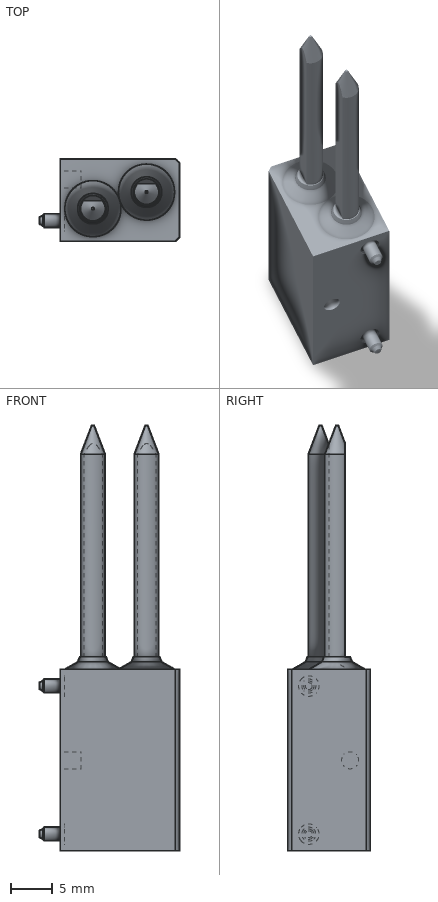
import cadquery as cq

total_height = 51.5
block_length = 14.45
block_width = 10.0
block_height = 22.0
edge_chamfer = 0.5

needle_centers = [(3.95, 3.95), (10.45, 5.95)]
needle_radius = 1.5
needle_flat_offset = 1.0
tip_length = 3.5
tip_radius = 0.15
collar_height = 1.5
collar_base_radius = 3.4
collar_neck_radius = 1.85
collar_neck_height = 0.9
collar_top_radius = 1.6

plug_y = 2.5
plug_heights = [2.05, 20.0]
plug_length = 2.5
plug_radius = 0.85
plug_shoulder_length = 0.6
plug_nose_base_radius = 0.6
plug_nose_radius = 0.4
plug_nose_length = 0.4
recess_radius = 1.25
recess_depth = 0.5

locating_hole_y = 7.5
locating_hole_height = block_height / 2
locating_hole_radius = 1.05
locating_hole_depth = 2.5


def make_needle(center):
    """Return a pointed, flattened needle with its collar."""
    shank_end = total_height - tip_length
    collar_top = block_height + collar_height
    shank = (
        cq.Workplane("XZ")
        .moveTo(0, block_height)
        .lineTo(needle_radius, block_height)
        .lineTo(needle_radius, shank_end)
        .lineTo(tip_radius, total_height)
        .lineTo(0, total_height)
        .close()
        .revolve(360, (0, 0), (0, 1))
    )
    flat_cutter = (
        cq.Workplane("XY", origin=(0, needle_flat_offset, collar_top))
        .rect(2 * needle_radius, 2 * needle_radius)
        .extrude(total_height - collar_top)
        .translate((0, needle_radius, 0))
    )
    collar = (
        cq.Workplane("XZ")
        .moveTo(0, block_height)
        .lineTo(collar_base_radius, block_height)
        .lineTo(collar_neck_radius, block_height + collar_neck_height)
        .lineTo(collar_top_radius, collar_top)
        .lineTo(0, collar_top)
        .close()
        .revolve(360, (0, 0), (0, 1))
    )
    return shank.cut(flat_cutter).union(collar).translate((*center, 0))


def bore(y, z, radius, depth):
    """Return a cylinder running into the block from the -X face."""
    return cq.Workplane("YZ", origin=(0, y, z)).circle(radius).extrude(depth)


def make_plug(z):
    """Return a stepped pin from the recess floor to its nose."""
    nose_start = plug_nose_length - plug_length
    shoulder_start = plug_shoulder_length - plug_length
    return (
        cq.Workplane("XY")
        .moveTo(recess_depth, 0)
        .lineTo(recess_depth, plug_radius)
        .lineTo(shoulder_start, plug_radius)
        .lineTo(nose_start, plug_nose_base_radius)
        .lineTo(-plug_length, plug_nose_radius)
        .lineTo(-plug_length, 0)
        .close()
        .revolve(360, (0, 0), (1, 0))
        .translate((0, plug_y, z))
    )


block = (
    cq.Workplane("XY")
    .box(block_length, block_width, block_height, centered=False)
    .edges("|Z and >X")
    .chamfer(edge_chamfer)
)

result = block.cut(bore(locating_hole_y, locating_hole_height, locating_hole_radius, locating_hole_depth))
for plug_height in plug_heights:
    result = result.cut(bore(plug_y, plug_height, recess_radius, recess_depth))
    result = result.union(make_plug(plug_height))
for needle_center in needle_centers:
    result = result.union(make_needle(needle_center))